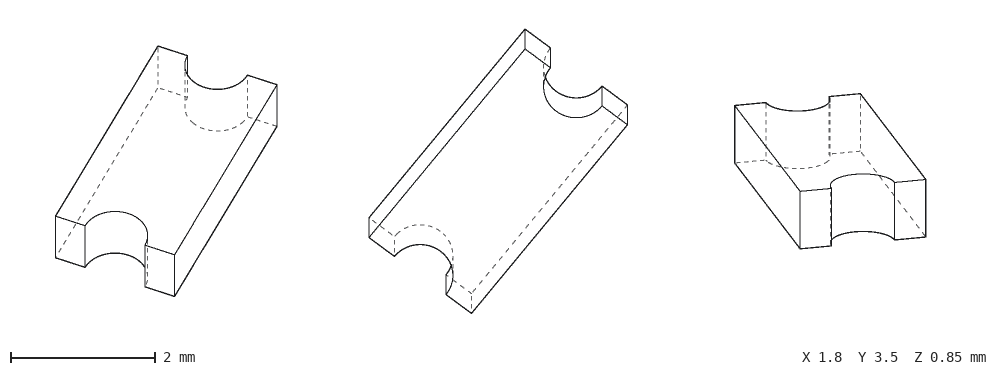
import cadquery as cq

width = 1.8
length = 3.5
height = 0.85

terminal_length = 0.75
notch_radius = 0.45

middle_length = length - 2 * terminal_length


def block(block_length, center_y):
    """Full-width, full-height block standing on Z = 0."""
    return (
        cq.Workplane("XY")
        .center(0, center_y)
        .box(width, block_length, height, centered=(True, True, False))
    )


def terminal(side):
    """End block with a half-round notch through its height; side is +1 or -1 along Y."""
    end_y = side * length / 2
    notch = cq.Workplane("XY").center(0, end_y).circle(notch_radius).extrude(height)
    return block(terminal_length, end_y - side * terminal_length / 2).cut(notch)


result = block(middle_length, 0)
for side in (-1, 1):
    result = result.union(terminal(side), clean=False)